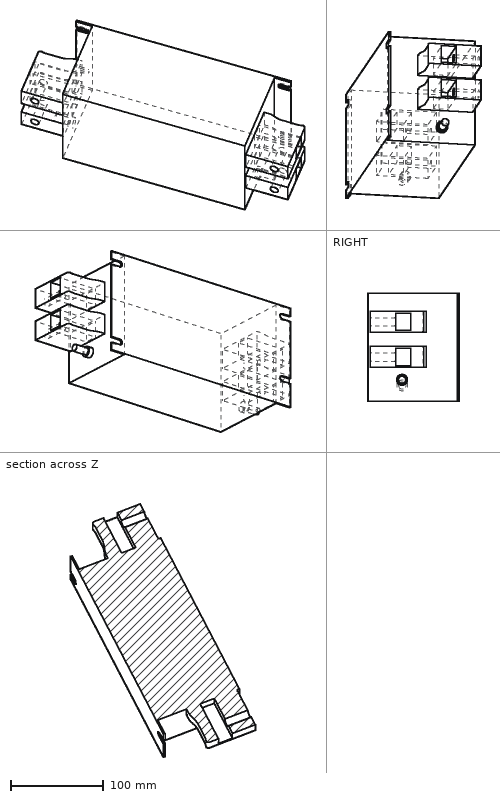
import cadquery as cq

overall_length = 307.0
housing_length = 210.0
housing_depth = 99.0
housing_height = 117.5
housing_end = housing_length / 2

plate_length = 247.0
plate_thickness = 2.0
slot_width = 6.5
slot_depth = 14.5
upper_slot_z = 105.0
lower_slot_z = {-1: 31.0, 1: 12.3}

terminal_reach = (overall_length - housing_length) / 2
terminal_height = 22.7
terminal_levels = (48.2, 86.5)
terminal_setback = 2.8
terminal_front_y = -housing_depth + terminal_setback
terminal_root_y = -36.0
terminal_waist_y = -39.5
terminal_tip_y = -38.7
root_flat = 5.0
waist_start = 21.5
waist_end = 41.5
tip_radius = 2.8

opening_width = 16.3
opening_height = 18.7
opening_y = -60.8
screw_hole_diameter = 9.0
screw_hole_from_tip = 15.5

stud_y = -62.0
stud_z = {-1: 17.5, 1: 23.3}
stud_diameter = 8.0
stud_reach = 21.5
collar_diameter = 11.7
collar_length = 5.5


def box_between(x_range, y_range, z_range):
    """Axis-aligned box from its two limits on each axis."""
    size = [high - low for low, high in (x_range, y_range, z_range)]
    corner = (x_range[0], y_range[0], z_range[0])
    return cq.Workplane("XY").box(*size, centered=False).translate(corner)


def make_plate():
    """Mounting plate with two open-ended, round-bottomed slots at each end."""
    plate_end = plate_length / 2
    plate = box_between((-plate_end, plate_end), (-plate_thickness, 0), (0, housing_height))
    for side in (-1, 1):
        for level in (upper_slot_z, lower_slot_z[side]):
            slot = (
                cq.Workplane("XZ")
                .center(side * plate_end, level)
                .slot2D(2 * slot_depth, slot_width)
                .extrude(plate_thickness)
            )
            plate = plate.cut(slot)
    return plate


def make_terminal(level):
    """Terminal block on the +X end, with a waisted back and a hollow core."""
    root_x = housing_end
    tip_x = root_x + terminal_reach
    body = (
        cq.Workplane("XY")
        .moveTo(root_x, terminal_front_y)
        .lineTo(tip_x, terminal_front_y)
        .lineTo(tip_x, terminal_tip_y - tip_radius)
        .radiusArc((tip_x - tip_radius, terminal_tip_y), -tip_radius)
        .lineTo(root_x + waist_end, terminal_waist_y)
        .lineTo(root_x + waist_start, terminal_waist_y)
        .spline(
            [(root_x + root_flat, terminal_root_y)],
            tangents=[(-1, 0), (-1, 0)],
            includeCurrent=True,
        )
        .lineTo(root_x, terminal_root_y)
        .close()
        .extrude(terminal_height)
        .translate((0, 0, level - terminal_height / 2))
    )
    opening = box_between(
        (root_x, tip_x),
        (opening_y - opening_width / 2, opening_y + opening_width / 2),
        (level - opening_height / 2, level + opening_height / 2),
    )
    screw_hole = (
        cq.Workplane("XZ", origin=(tip_x - screw_hole_from_tip, opening_y, level))
        .circle(screw_hole_diameter / 2)
        .extrude(opening_y - terminal_front_y)
    )
    return body.cut(opening).cut(screw_hole)


def make_stud(side):
    """Collared earth stud pointing outward along X."""
    root = cq.Workplane("YZ", origin=(side * housing_end, stud_y, stud_z[side]))
    collar = root.circle(collar_diameter / 2).extrude(side * collar_length)
    rod = root.circle(stud_diameter / 2).extrude(side * stud_reach)
    return collar.union(rod)


result = box_between((-housing_end, housing_end), (-housing_depth, 0), (0, housing_height))
result = result.union(make_plate())
for terminal_level in terminal_levels:
    terminal = make_terminal(terminal_level)
    result = result.union(terminal).union(terminal.mirror("YZ"))
for end_side in (-1, 1):
    result = result.union(make_stud(end_side))